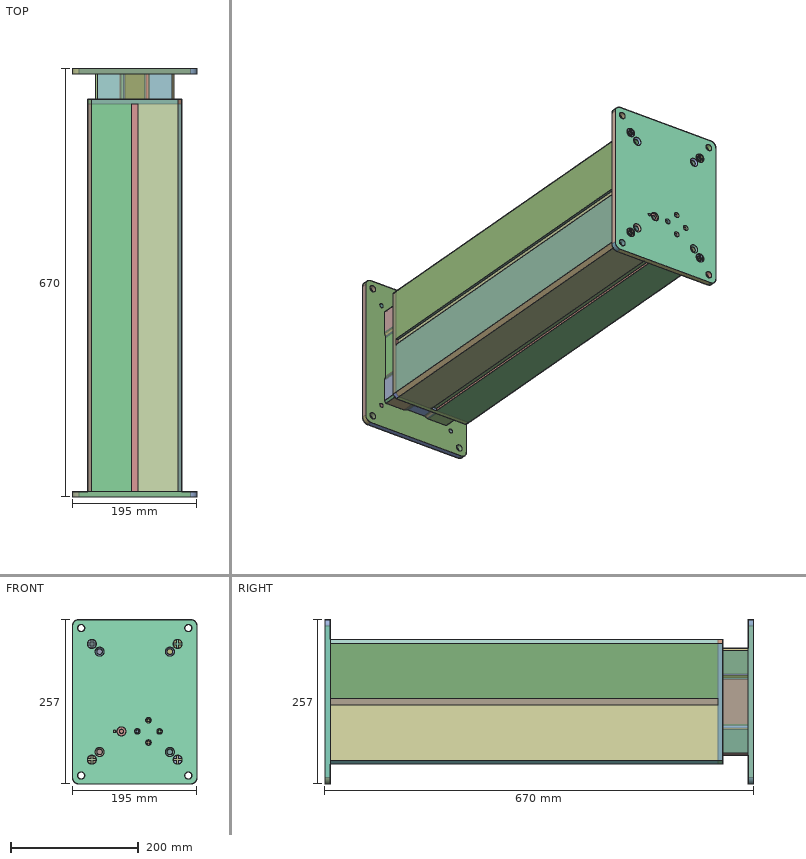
import cadquery as cq
import math

LENGTH = 670.0
PLATE_WIDTH = 195.0
PLATE_HEIGHT = 257.0
PLATE_THICKNESS = 9.0
PLATE_CORNER_RADIUS = 10.0

OUTER_WIDTH = 147.5
OUTER_HEIGHT = 195.0
OUTER_CORNER_CHAMFER = 6.0
GUIDE_GROOVE_WIDTH = 10.0
GUIDE_GROOVE_DEPTH = 4.0
COLLAR_LENGTH = 8.0
COLLAR_END_CHAMFER = 1.0

INNER_EXPOSED_LENGTH = 39.0
INNER_WIDTH = 123.0
INNER_HEIGHT = 167.5
INNER_CORNER_CHAMFER = 3.5
RECESS_DEPTH = 3.0
RECESS_SLOPE_RUN = 6.0
RECESS_BEND_RADIUS = 5.0
WIDTH_RECESS_FLOOR = 33.0
HEIGHT_RECESS_FLOOR = 72.5

MOUNT_HOLE_OFFSET = (84.0, 115.0)
MOUNT_HOLE_DIAMETER = 11.0

SCREW_OFFSET = (67.0, 90.5)
SCREW_HEAD_DIAMETER = 14.0
SCREW_HEAD_DEPTH = 1.5
SCREW_SLOT_LENGTH = 13.5
SCREW_SLOT_WIDTH = 3.5
SCREW_SLOT_DEPTH = 3.0
REAR_SCREW_HOLE_DIAMETER = 7.0

COUNTERSUNK_OFFSET = (55.0, 78.5)
COUNTERSINK_DIAMETER = 14.0
COUNTERSINK_DEPTH = 3.0
COUNTERSUNK_HOLE_DIAMETER = 9.0

RING_CENTRE = (21.5, -46.0)
RING_RADIUS = 17.5
RING_HOLE_COUNT = 4
RING_HOLE_MOUTH_DIAMETER = 9.0
RING_HOLE_CHAMFER = 2.0
RING_HOLE_DIAMETER = 5.0
PORT_CENTRE_X = -21.0
PORT_DIAMETER = 14.0
PORT_STEP_DEPTH = 3.5
PORT_BORE_DIAMETER = 7.0
KEY_HOLE_CENTRE_X = -31.5
KEY_HOLE_DIAMETER = 4.0

FRONT_FACE = -LENGTH / 2
FRONT_PLATE_BACK = FRONT_FACE + PLATE_THICKNESS
REAR_FACE = LENGTH / 2
REAR_PLATE_FRONT = REAR_FACE - PLATE_THICKNESS
OUTER_END = REAR_PLATE_FRONT - INNER_EXPOSED_LENGTH
COLLAR_START = OUTER_END - COLLAR_LENGTH


def section_at(y):
    """Sketch plane at station y: local x is X, local y is Z, extruding toward -Y."""
    return cq.Workplane("XZ", origin=(0, y, 0))


def bar(width, height, start, end):
    return section_at(end).rect(width, height).extrude(end - start)


def four_corners(offset):
    x, z = offset
    return [(x, z), (-x, z), (-x, -z), (x, -z)]


def round_cut(points, diameter, start, end):
    return section_at(end).pushPoints(points).circle(diameter / 2).extrude(end - start)


def cone_cut(points, mouth_diameter, floor_diameter, depth):
    """Countersink cutters that narrow from the front face to the given depth."""
    cutters = section_at(FRONT_FACE).pushPoints(points).circle(mouth_diameter / 2)
    taper = math.degrees(math.atan2((mouth_diameter - floor_diameter) / 2, depth))
    return cutters.extrude(-depth, taper=taper)


def outer_column():
    column = bar(OUTER_WIDTH, OUTER_HEIGHT, FRONT_PLATE_BACK, COLLAR_START)
    column = column.edges("|Y").chamfer(OUTER_CORNER_CHAMFER)
    collar = bar(OUTER_WIDTH, OUTER_HEIGHT, COLLAR_START, OUTER_END)
    collar = collar.edges("|Y").chamfer(OUTER_CORNER_CHAMFER)
    collar = collar.faces(">Y").edges().chamfer(COLLAR_END_CHAMFER)
    groove_length = COLLAR_START - FRONT_PLATE_BACK
    side_grooves = (
        section_at(COLLAR_START)
        .pushPoints([(-OUTER_WIDTH / 2, 0), (OUTER_WIDTH / 2, 0)])
        .rect(2 * GUIDE_GROOVE_DEPTH, GUIDE_GROOVE_WIDTH)
        .extrude(groove_length)
    )
    top_bottom_grooves = (
        section_at(COLLAR_START)
        .pushPoints([(0, -OUTER_HEIGHT / 2), (0, OUTER_HEIGHT / 2)])
        .rect(GUIDE_GROOVE_WIDTH, 2 * GUIDE_GROOVE_DEPTH)
        .extrude(groove_length)
    )
    column = column.cut(side_grooves).cut(top_bottom_grooves)
    return column.union(collar, clean=False)


def sloped_recess(floor_length, face_offset):
    """Trapezoid cutter for the +Z face at height face_offset."""
    half_floor = floor_length / 2
    half_mouth = half_floor + RECESS_SLOPE_RUN
    floor_z = face_offset - RECESS_DEPTH
    outline = [
        (-half_mouth, face_offset),
        (-half_floor, floor_z),
        (half_floor, floor_z),
        (half_mouth, face_offset),
    ]
    return section_at(REAR_PLATE_FRONT).polyline(outline).close().extrude(INNER_EXPOSED_LENGTH)


def centred_zone(reach_x, reach_z):
    """Selects edges of the exposed inner column within these distances of its axis."""
    return cq.selectors.BoxSelector((-reach_x, OUTER_END, -reach_z), (reach_x, REAR_PLATE_FRONT, reach_z))


def inner_column():
    column = bar(INNER_WIDTH, INNER_HEIGHT, OUTER_END, REAR_PLATE_FRONT)
    column = column.edges("|Y").chamfer(INNER_CORNER_CHAMFER)
    top_recess = sloped_recess(WIDTH_RECESS_FLOOR, INNER_HEIGHT / 2)
    side_recess = sloped_recess(HEIGHT_RECESS_FLOOR, INNER_WIDTH / 2)
    for recess, first_turn in ((top_recess, 0), (side_recess, 90)):
        for turn in (first_turn, first_turn + 180):
            column = column.cut(recess.rotate((0, 0, 0), (0, 1, 0), turn))
    top_bend_limit = WIDTH_RECESS_FLOOR / 2 + 2 * RECESS_SLOPE_RUN
    side_bend_limit = HEIGHT_RECESS_FLOOR / 2 + 2 * RECESS_SLOPE_RUN
    top_bends = centred_zone(top_bend_limit, INNER_HEIGHT)
    side_bends = centred_zone(INNER_WIDTH, side_bend_limit)
    return column.edges("|Y").edges(top_bends + side_bends).fillet(RECESS_BEND_RADIUS)


def end_plate(start):
    """Rounded plate with its four through mounting holes."""
    end = start + PLATE_THICKNESS
    plate = bar(PLATE_WIDTH, PLATE_HEIGHT, start, end).edges("|Y").fillet(PLATE_CORNER_RADIUS)
    return plate.cut(round_cut(four_corners(MOUNT_HOLE_OFFSET), MOUNT_HOLE_DIAMETER, start, end))


def screw_head_cut():
    """Shallow round recesses, each with a cross slot in its floor."""
    corners = four_corners(SCREW_OFFSET)
    head_floor = FRONT_FACE + SCREW_HEAD_DEPTH
    slot_floor = head_floor + SCREW_SLOT_DEPTH
    cut = round_cut(corners, SCREW_HEAD_DIAMETER, FRONT_FACE, head_floor)
    for size in ((SCREW_SLOT_LENGTH, SCREW_SLOT_WIDTH), (SCREW_SLOT_WIDTH, SCREW_SLOT_LENGTH)):
        cut = cut.union(section_at(slot_floor).pushPoints(corners).rect(*size).extrude(SCREW_SLOT_DEPTH))
    return cut


def countersunk_cut(points, mouth_diameter, depth, hole_diameter):
    """Countersinks in the front face, continued as round holes through the front plate."""
    holes = round_cut(points, hole_diameter, FRONT_FACE, FRONT_PLATE_BACK)
    return holes.union(cone_cut(points, mouth_diameter, hole_diameter, depth))


def ring_points():
    x, z = RING_CENTRE
    angles = [2 * math.pi * i / RING_HOLE_COUNT for i in range(RING_HOLE_COUNT)]
    return [(x + RING_RADIUS * math.cos(a), z + RING_RADIUS * math.sin(a)) for a in angles]


def port_cut():
    port_z = RING_CENTRE[1]
    port = [(PORT_CENTRE_X, port_z)]
    key_hole = [(KEY_HOLE_CENTRE_X, port_z)]
    cut = round_cut(port, PORT_DIAMETER, FRONT_FACE, FRONT_FACE + PORT_STEP_DEPTH)
    cut = cut.union(round_cut(port, PORT_BORE_DIAMETER, FRONT_FACE, FRONT_PLATE_BACK))
    return cut.union(round_cut(key_hole, KEY_HOLE_DIAMETER, FRONT_FACE, FRONT_PLATE_BACK))


def front_plate():
    countersunk_holes = countersunk_cut(
        four_corners(COUNTERSUNK_OFFSET), COUNTERSINK_DIAMETER, COUNTERSINK_DEPTH, COUNTERSUNK_HOLE_DIAMETER
    )
    ring_holes = countersunk_cut(
        ring_points(), RING_HOLE_MOUTH_DIAMETER, RING_HOLE_CHAMFER, RING_HOLE_DIAMETER
    )
    plate = end_plate(FRONT_FACE)
    for cutter in (screw_head_cut(), countersunk_holes, ring_holes, port_cut()):
        plate = plate.cut(cutter)
    return plate


def rear_plate():
    plate = end_plate(REAR_PLATE_FRONT)
    corners = four_corners(SCREW_OFFSET)
    return plate.cut(round_cut(corners, REAR_SCREW_HOLE_DIAMETER, REAR_PLATE_FRONT, REAR_FACE))


result = outer_column()
for piece in (front_plate(), inner_column(), rear_plate()):
    result = result.union(piece, clean=False)